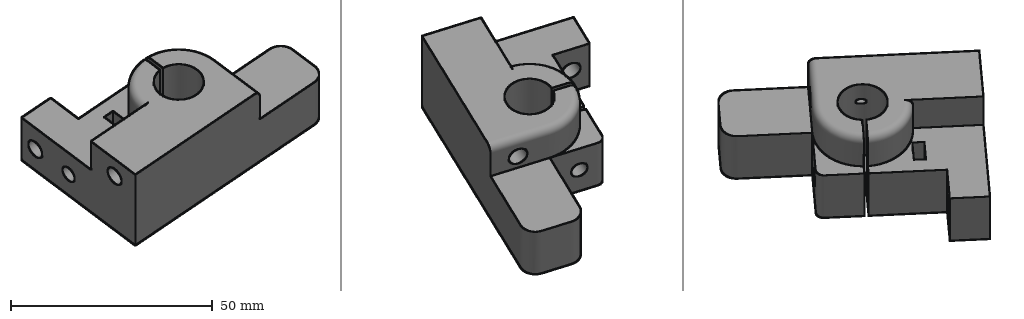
import cadquery as cq

base_height = 15.0
total_width = 41.0
total_length = 65.0
flange_depth = 10.0
body_left = 10.0
body_corner_radius = 2.0
tail_corner_radius = 4.0

total_height = 25.0
bore_x = 25.0
bore_y = 30.0
bore_diameter = 12.4
head_radius = 12.5
head_edge_radius = 2.0
body_back = bore_y + head_radius
slit_width = 1.0

mount_hole_diameter = 5.0
flange_hole_x = 5.0
head_hole_x = 33.55
head_hole_z = 19.0
clamp_hole_diameter = 4.4
clamp_hole_x = 17.0
low_hole_z = base_height / 2

nut_width = 6.0
nut_thickness = 3.0
nut_front = 15.0
nut_pocket_floor = 4.0


def make_base():
    outline = [
        (0, 0),
        (total_width, 0),
        (total_width, total_length),
        (bore_x, total_length),
        (bore_x, body_back),
        (body_left, body_back),
        (body_left, flange_depth),
        (0, flange_depth),
    ]
    base = cq.Workplane("XY").polyline(outline).close().extrude(base_height)
    base = base.edges("|Z").edges(">Y").fillet(tail_corner_radius)
    body_corner = cq.selectors.NearestToPointSelector((body_left, body_back, base_height / 2))
    return base.edges(body_corner).fillet(body_corner_radius)


def make_head():
    """Block with a half-round left side, rounded along its top rim and back edge."""
    head_height = total_height - base_height
    rounded_part = (
        cq.Workplane("XY", origin=(0, 0, base_height))
        .moveTo(bore_x, bore_y - head_radius)
        .threePointArc((bore_x - head_radius, bore_y), (bore_x, body_back))
        .lineTo(total_width, body_back)
        .lineTo(total_width, bore_y - head_radius)
        .close()
        .extrude(head_height)
    )
    top_edges = rounded_part.faces(">Z").edges("%CIRCLE or >Y")
    rounded_part = top_edges.fillet(head_edge_radius)
    block = cq.Workplane("XY").box(
        total_width - bore_x, bore_y, head_height, centered=False
    )
    return rounded_part.union(block.translate((bore_x, 0, base_height)))


def hole_along_y(x, z, diameter):
    return cq.Workplane("XZ", origin=(x, 0, z)).circle(diameter / 2).extrude(-total_length)


def make_bore():
    return cq.Workplane("XY", origin=(bore_x, bore_y, 0)).circle(bore_diameter / 2).extrude(total_height)


def make_slit():
    """Clamping gap from the bore out through the left side."""
    slit = cq.Workplane("XY").box(bore_x, slit_width, total_height, centered=False)
    return slit.translate((0, bore_y - slit_width / 2, 0))


def make_nut_pocket():
    pocket = cq.Workplane("XY").box(
        nut_width, nut_thickness, base_height - nut_pocket_floor, centered=False
    )
    return pocket.translate((clamp_hole_x - nut_width / 2, nut_front, nut_pocket_floor))


result = make_base().union(make_head())
result = result.cut(make_bore()).cut(make_slit()).cut(make_nut_pocket())
result = result.cut(hole_along_y(flange_hole_x, low_hole_z, mount_hole_diameter))
result = result.cut(hole_along_y(clamp_hole_x, low_hole_z, clamp_hole_diameter))
result = result.cut(hole_along_y(head_hole_x, head_hole_z, mount_hole_diameter))